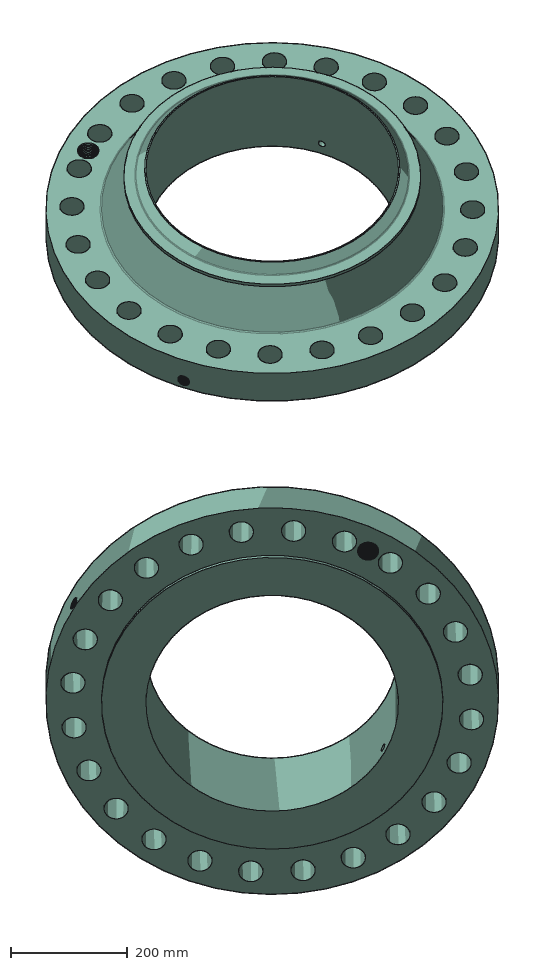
import cadquery as cq
import math

match_tolerance = 0.5

flange_radius = 774.7 / 2
face_radius = 584.2 / 2
face_height = 7.0
flange_top = 76.5

hub_base_radius = 586.0 / 2
hub_fillet_radius = 3.0
neck_radius = 508.0 / 2
hub_top = 151.0
neck_top = 157.5
bore_radius = 432.0 / 2
overall_height = 174.5
root_land = 2.5
bevel_angle = math.radians(45.0)
shoulder_height = 159.0
bevel_fillet_radius = 3.0

bolt_count = 24
bolt_circle_radius = 685.8 / 2
bolt_hole_diameter = 41.3

jack_offset = 342.4
jack_major_diameter = 36.5
jack_minor_diameter = 33.7
jack_pitch = 25.4 / 8

tap_height = 24.5
tap_drill_diameter = 12.7
tap_major_diameter = 21.3
tap_minor_diameter = 18.0
tap_pitch = 25.4 / 14
tap_thread_turns = 12


def fillet_circle(body, radius, height, fillet_radius):
    """Round the circular edge that has the given radius and height about the Z axis."""
    half_box = radius + match_tolerance
    bottom = (-half_box, -half_box, height - match_tolerance)
    top = (half_box, half_box, height + match_tolerance)
    edge = body.edges(cq.selectors.BoxSelector(bottom, top, boundingbox=True)).edges(
        cq.selectors.RadiusNthSelector(-1)
    )
    return edge.fillet(fillet_radius)


def make_body():
    """Revolved section of the raised face, plate, hub and bevelled weld end."""
    land_radius = bore_radius + root_land
    bevel_radius = land_radius + (overall_height - shoulder_height) * math.tan(bevel_angle)
    section = [
        (bore_radius, 0),
        (face_radius, 0),
        (face_radius, face_height),
        (flange_radius, face_height),
        (flange_radius, flange_top),
        (hub_base_radius, flange_top),
        (neck_radius, hub_top),
        (neck_radius, neck_top),
        (bevel_radius, shoulder_height),
        (land_radius, overall_height),
        (bore_radius, overall_height),
    ]
    body = cq.Workplane("XZ").polyline(section).close().revolve(360, (0, 0, 0), (0, 1, 0))
    body = fillet_circle(body, hub_base_radius, flange_top, hub_fillet_radius)
    return fillet_circle(body, bevel_radius, shoulder_height, bevel_fillet_radius)


def drill_bolt_holes(body):
    """Equally spaced through holes, set half a step off the X axis."""
    return (
        body.faces("<Z")
        .workplane(origin=(0, 0, 0))
        .polarArray(bolt_circle_radius, 180 / bolt_count, 360, bolt_count)
        .hole(bolt_hole_diameter)
    )


def threaded_cutter(major_diameter, minor_diameter, pitch, turns):
    """Cutter along +Z from the origin whose wall is a row of V-shaped thread rings."""
    major_radius = major_diameter / 2
    minor_radius = minor_diameter / 2
    profile = cq.Workplane("XZ").lineTo(major_radius, 0)
    for turn in range(turns):
        start = turn * pitch
        profile = profile.lineTo(minor_radius, start + pitch / 2)
        profile = profile.lineTo(major_radius, start + pitch)
    return profile.lineTo(0, turns * pitch).close().revolve(360, (0, 0, 0), (0, 1, 0))


def cut_jack_screw_hole(body):
    """Threaded hole through the plate, midway between two bolt holes."""
    turns = math.ceil((flange_top - face_height) / jack_pitch)
    cutter = threaded_cutter(jack_major_diameter, jack_minor_diameter, jack_pitch, turns)
    cutter = cutter.rotate((0, 0, 0), (1, 0, 0), 180)
    return body.cut(cutter.translate((-jack_offset, 0, flange_top)))


def cut_pressure_taps(body):
    """Radial drilled passages with a threaded mouth at the rim, on opposite sides."""
    drill = (
        cq.Workplane("XZ", origin=(0, flange_radius, tap_height))
        .circle(tap_drill_diameter / 2)
        .extrude(2 * flange_radius)
    )
    body = body.cut(drill)
    thread = (
        threaded_cutter(tap_major_diameter, tap_minor_diameter, tap_pitch, tap_thread_turns)
        .rotate((0, 0, 0), (1, 0, 0), -90)
        .translate((0, -flange_radius, tap_height))
    )
    for angle in (0, 180):
        body = body.cut(thread.rotate((0, 0, 0), (0, 0, 1), angle))
    return body


result = cut_pressure_taps(cut_jack_screw_hole(drill_bolt_holes(make_body())))